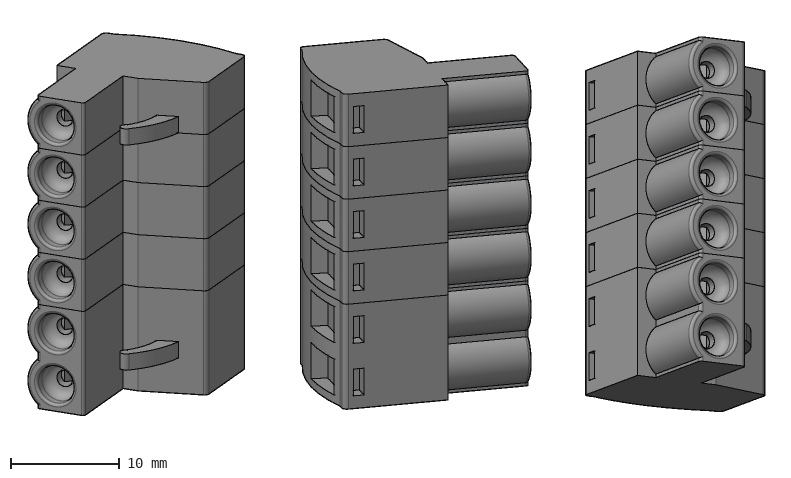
import cadquery as cq
import math


length = 30.48
pole_count = 6
end_module_poles = 2
pitch = length / pole_count
depth = 19.3

housing_width = 14.5
housing_front_y = 8.3
housing_back_y = 18.32
slope_start_x = 8.25
slope_angle = 15.0
housing_fillet = 0.5

dome_margin = 1.05

recess_start_x = 2.0
recess_end_x = housing_width / 2
recess_height = 3.47
recess_depth = 1.52
recess_wall_draft = 12.0

slot_start_y = 16.35
slot_width = 1.0
slot_height = 2.6
slot_depth = 1.52

plug_left_x = 1.92
plug_right_x = 6.75
plug_fillet = 0.3
barrel_x = 3.78
barrel_radius = 2.9

bore_radius = 1.83
mouth_fillet = 0.27
bore_straight_end_y = 1.0
contact_radius = 0.8
contact_depth = 0.9
groove_width = 0.9
groove_wall_angle = 66.0

hook_thickness = 1.6
hook_offset = 3.47
hook_tip_x = 8.78
hook_tip_y = 4.65
hook_tip_radius = 0.58
hook_outer_tip_angle = -40.0
hook_inner_tip_angle = 105.0
hook_outer_mid = (11.05, 6.75)
hook_outer_end = (11.95, 9.45)
hook_inner_mid = (9.57, 6.83)
hook_inner_end = (9.95, 9.0)


def pole_centre(index):
    """Height of a pole above the bottom of its module."""
    return (index + 0.5) * pitch


def housing(height):
    """Rounded block with a sloping front corner and a domed back."""
    slope_rise = (housing_width - slope_start_x) * math.tan(math.radians(slope_angle))
    block = (
        cq.Workplane("XY")
        .moveTo(0, housing_front_y)
        .lineTo(slope_start_x, housing_front_y)
        .lineTo(housing_width, housing_front_y + slope_rise)
        .lineTo(housing_width, housing_back_y)
        .lineTo(0, housing_back_y)
        .close()
        .extrude(height)
    )
    rounded = block.edges("|Z and (>X or >Y)").fillet(housing_fillet)
    dome = (
        cq.Workplane("XY")
        .moveTo(dome_margin, housing_back_y)
        .threePointArc((housing_width / 2, depth), (housing_width - dome_margin, housing_back_y))
        .close()
        .extrude(height)
    )
    return rounded.union(dome)


def plug_bar(height):
    """Flat bar of the plug with rounded nose edges."""
    bar = cq.Workplane("XY").box(
        plug_right_x - plug_left_x, housing_front_y, height, centered=False
    )
    return bar.edges("|Z and <Y").fillet(plug_fillet).translate((plug_left_x, 0, 0))


def barrel(centre_z):
    """Left half of a round barrel, trimmed to the height of one pole."""
    half_cell = cq.Workplane("XY").box(
        barrel_radius, housing_front_y, pitch, centered=(False, False, True)
    )
    return (
        cq.Workplane("XZ")
        .circle(barrel_radius)
        .extrude(-housing_front_y)
        .faces("<Y")
        .edges()
        .fillet(plug_fillet)
        .intersect(half_cell.translate((-barrel_radius, 0, 0)))
        .translate((barrel_x, 0, centre_z))
    )


def socket(centre_z):
    """Rounded mouth, bore with a round floor, and a contact hole ending in a V groove."""
    floor_fillet = bore_radius - contact_radius
    floor_y = bore_straight_end_y + floor_fillet
    contact_end_y = floor_y + contact_depth
    mouth_radius = bore_radius + mouth_fillet
    cos_45 = math.cos(math.radians(45))
    bore = (
        cq.Workplane("XY")
        .moveTo(0, 0)
        .lineTo(mouth_radius, 0)
        .threePointArc(
            (mouth_radius - mouth_fillet * cos_45, mouth_fillet * (1 - cos_45)),
            (bore_radius, mouth_fillet),
        )
        .lineTo(bore_radius, bore_straight_end_y)
        .threePointArc(
            (contact_radius + floor_fillet * cos_45, bore_straight_end_y + floor_fillet * cos_45),
            (contact_radius, floor_y),
        )
        .lineTo(contact_radius, contact_end_y)
        .lineTo(0, contact_end_y)
        .close()
        .revolve(360, (0, 0), (0, 1))
    )
    groove_depth = groove_width / 2 * math.tan(math.radians(groove_wall_angle))
    groove = (
        cq.Workplane("XY")
        .moveTo(-groove_width / 2, contact_end_y)
        .lineTo(groove_width / 2, contact_end_y)
        .lineTo(0, contact_end_y + groove_depth)
        .close()
        .extrude(contact_radius, both=True)
    )
    contact = cq.Workplane("XZ").circle(contact_radius).extrude(-(contact_end_y + groove_depth))
    return bore.union(groove.intersect(contact)).translate((barrel_x, 0, centre_z))


def dome_recess(centre_z):
    """Pocket to cut from the left half of the dome."""
    floor_y = depth - recess_depth
    draft_run = recess_depth * math.tan(math.radians(recess_wall_draft))
    return (
        cq.Workplane("XY")
        .moveTo(recess_start_x, depth)
        .lineTo(recess_start_x, floor_y)
        .lineTo(recess_end_x - draft_run, floor_y)
        .lineTo(recess_end_x, depth)
        .close()
        .extrude(recess_height / 2, both=True)
        .translate((0, 0, centre_z))
    )


def side_slot(centre_z):
    """Blind slot to cut from the left face."""
    return (
        cq.Workplane("XY")
        .box(slot_depth, slot_width, slot_height, centered=(False, False, True))
        .translate((0, slot_start_y, centre_z))
    )


def hook_tip_point(angle):
    """Point on the round tip of the hook, at an angle in degrees from +X."""
    turn = math.radians(angle)
    return (
        hook_tip_x + hook_tip_radius * math.cos(turn),
        hook_tip_y + hook_tip_radius * math.sin(turn),
    )


def latch_hook(bottom_z):
    """Curved finger with a round tip, rooted in the sloping face."""
    outer_start = hook_tip_point(hook_outer_tip_angle)
    inner_start = hook_tip_point(hook_inner_tip_angle)
    tip = hook_tip_point((hook_outer_tip_angle + hook_inner_tip_angle) / 2 + 180)
    return (
        cq.Workplane("XY")
        .moveTo(*outer_start)
        .threePointArc(hook_outer_mid, hook_outer_end)
        .lineTo(*hook_inner_end)
        .threePointArc(hook_inner_mid, inner_start)
        .threePointArc(tip, outer_start)
        .close()
        .extrude(hook_thickness)
        .translate((0, 0, bottom_z))
    )


def module(poles):
    """One solid housing with its plug, for the given number of poles."""
    height = poles * pitch
    body = housing(height).union(plug_bar(height))
    for index in range(poles):
        body = body.union(barrel(pole_centre(index)))
    for index in range(poles):
        centre_z = pole_centre(index)
        body = body.cut(socket(centre_z)).cut(dome_recess(centre_z)).cut(side_slot(centre_z))
    return body


end_module = module(end_module_poles).union(latch_hook(hook_offset))

single_modules = cq.Workplane("XY")
for position in range(end_module_poles, pole_count):
    single_module = module(1)
    if position == pole_count - 1:
        single_module = single_module.union(latch_hook(pitch - hook_offset - hook_thickness))
    single_modules = single_modules.add(single_module.translate((0, 0, position * pitch)))

result = cq.Compound.makeCompound([end_module.val(), *single_modules.vals()])